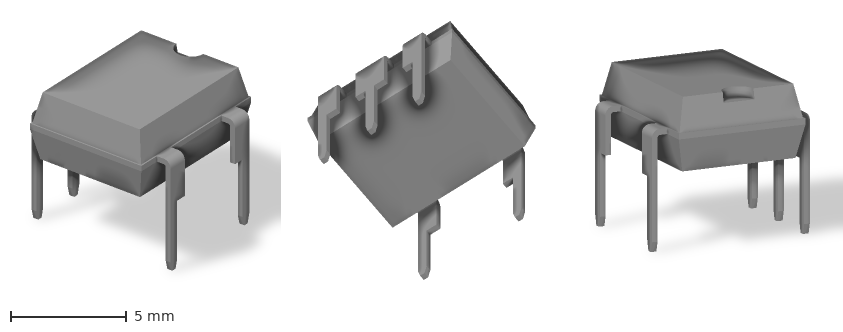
import cadquery as cq
import math

body_width = 6.115
body_length = 7.74
total_height = 6.98
lead_span = 7.62

upper_height = 1.5
band_height = 0.27
lower_height = 1.53
draft_angle = 12.0
ledge = 0.08
band_top = total_height - upper_height
band_bottom = band_top - band_height

notch_radius = 0.74
notch_depth = 0.465
notch_center_y = body_length / 2 - 0.35

pitch = 2.54
lead_thickness = band_height
bend_radius = 0.38
shoulder_half_width = 0.77
shoulder_bottom = band_top - 2.16
pin_half_width = 0.23
tip_half_width = pin_half_width / 2
tip_height = 2 * pin_half_width
lead_embed = 0.39


def make_body():
    """Parting band with tapered blocks above and below it."""
    band = (
        cq.Workplane("XY").workplane(offset=band_bottom)
        .rect(body_width, body_length)
        .extrude(band_height)
    )
    upper = (
        cq.Workplane("XY").workplane(offset=band_top)
        .rect(body_width - 2 * ledge, body_length - 2 * ledge)
        .extrude(upper_height, taper=draft_angle)
    )
    lower = (
        cq.Workplane("XY").workplane(offset=band_bottom)
        .rect(body_width, body_length)
        .extrude(-lower_height, taper=draft_angle)
    )
    return band.union(upper).union(lower)


def make_notch():
    """Round cutter that breaks out through the +Y face of the upper half."""
    return (
        cq.Workplane("XY").workplane(offset=total_height - notch_depth)
        .center(0, notch_center_y)
        .circle(notch_radius)
        .extrude(notch_depth)
    )


def make_strip():
    """Bent sheet on the -X side, spanning the whole body length."""
    outer_x = -lead_span / 2
    inner_x = outer_x + lead_thickness
    bend_x = outer_x + bend_radius
    bend_z = band_top - bend_radius
    root_x = -body_width / 2 + lead_embed
    inner_radius = bend_radius - lead_thickness
    outer_diagonal = bend_radius * math.sqrt(0.5)
    inner_diagonal = inner_radius * math.sqrt(0.5)
    return (
        cq.Workplane("XZ")
        .moveTo(outer_x, 0)
        .lineTo(outer_x, bend_z)
        .threePointArc((bend_x - outer_diagonal, bend_z + outer_diagonal), (bend_x, band_top))
        .lineTo(root_x, band_top)
        .lineTo(root_x, band_bottom)
        .lineTo(bend_x, band_bottom)
        .threePointArc((bend_x - inner_diagonal, bend_z + inner_diagonal), (inner_x, bend_z))
        .lineTo(inner_x, 0)
        .close()
        .extrude(body_length / 2, both=True)
    )


def make_lead(front_reach, rear_reach):
    """Lead on the -X side at Y = 0; its shoulder reaches the given distances toward -Y and +Y."""
    shoulder = (
        cq.Workplane("YZ")
        .moveTo(-front_reach, shoulder_bottom)
        .lineTo(rear_reach, shoulder_bottom)
        .lineTo(rear_reach, band_top)
        .lineTo(-front_reach, band_top)
        .close()
        .extrude(-lead_span)
    )
    pin = (
        cq.Workplane("YZ")
        .moveTo(-tip_half_width, 0)
        .lineTo(tip_half_width, 0)
        .lineTo(pin_half_width, tip_height)
        .lineTo(pin_half_width, band_top)
        .lineTo(-pin_half_width, band_top)
        .lineTo(-pin_half_width, tip_height)
        .close()
        .extrude(-lead_span)
    )
    return make_strip().intersect(shoulder.union(pin))


middle_lead = make_lead(shoulder_half_width, shoulder_half_width)
front_lead = make_lead(pin_half_width, shoulder_half_width).translate((0, -pitch, 0))
rear_lead = front_lead.mirror("XZ")

result = make_body().cut(make_notch()).union(middle_lead)
for corner_lead in (front_lead, rear_lead):
    result = result.union(corner_lead).union(corner_lead.mirror("YZ"))